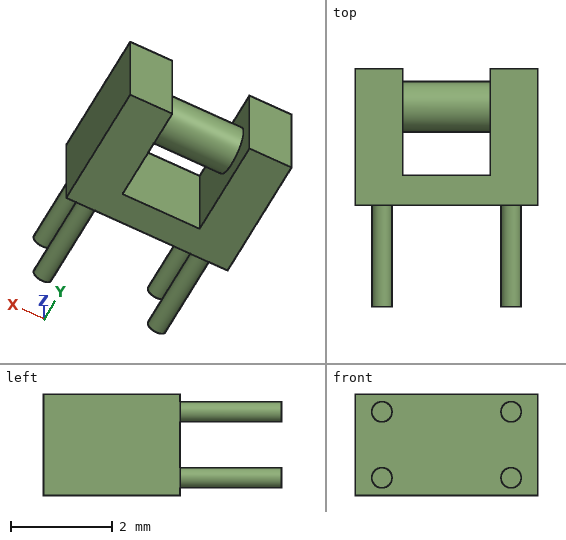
import cadquery as cq

body_width = 3.6
body_height = 2.0
total_length = 4.7
pin_length = 2.0
body_length = total_length - pin_length

slot_width = 1.72
web_thickness = 0.595

bar_diameter = 1.0
bar_setback = 0.75

pin_diameter = 0.4
pin_spacing_x = 2.547
pin_spacing_z = 1.3


def make_body():
    """U-shaped block with its pin face on the plane Y = 0."""
    block = cq.Workplane("XY").box(
        body_width, body_length, body_height, centered=(True, False, True)
    )
    slot = (
        cq.Workplane("XY")
        .box(slot_width, body_length - web_thickness, body_height, centered=(True, False, True))
        .translate((0, web_thickness, 0))
    )
    return block.cut(slot)


def make_crossbar():
    """Round bar along X, spanning the slot from arm to arm."""
    return (
        cq.Workplane("YZ")
        .center(body_length - bar_setback, 0)
        .circle(bar_diameter / 2)
        .extrude(slot_width / 2, both=True)
    )


def make_pins():
    """Rectangular pattern of round pins pointing toward -Y."""
    return (
        cq.Workplane("XZ")
        .rarray(pin_spacing_x, pin_spacing_z, 2, 2)
        .circle(pin_diameter / 2)
        .extrude(pin_length)
    )


result = make_body().union(make_crossbar()).union(make_pins())